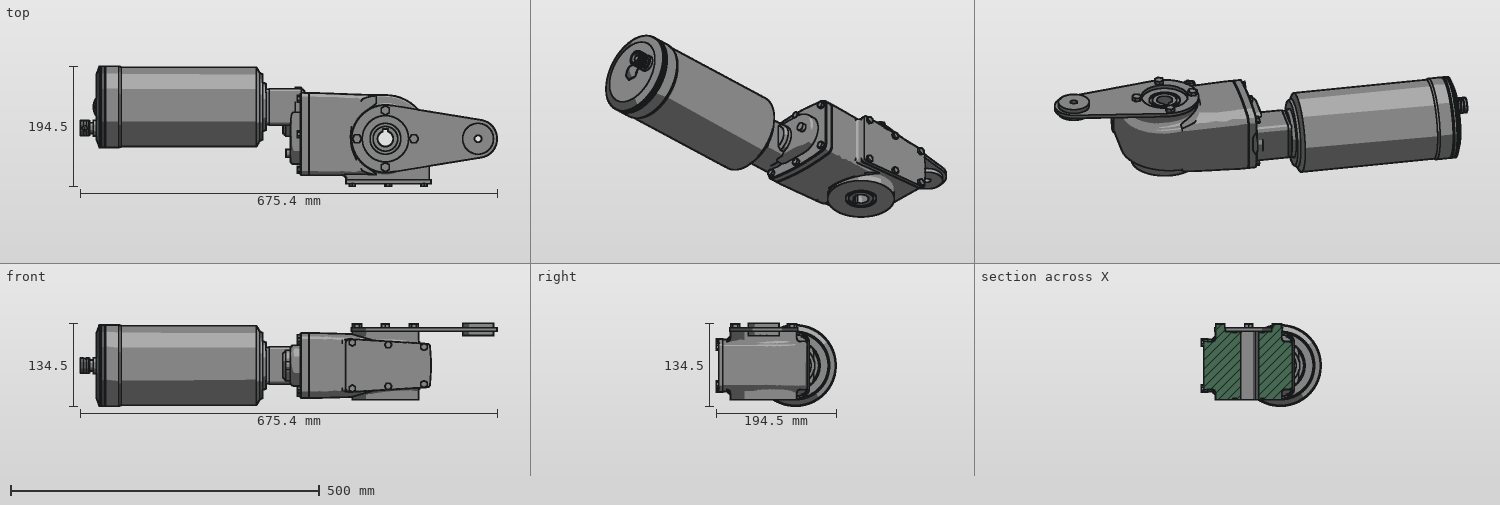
import cadquery as cq
import math

MOTOR_Y = 51.5
MOTOR_DIA = 129
CAP_DIA = 132
CAP_FACE_DIA = 105
CAP_FACE_X = -468
CAP_EDGE_X = -463
CAP_END_X = -431.5
CAP_END_CHAMFER = 4
CAP_GROOVE_X = -455.5
CAP_GROOVE_WIDTH = 2.5
CAP_FINE_GROOVE_X = -460.5
CAP_FINE_GROOVE_WIDTH = 1
CAP_GROOVE_DEPTH = 0.8
BARREL_END_X = -209
RIDGE_X = -203.5
RIDGE_RADIUS = 55.5
SHOULDER_X = -199
SHOULDER_RADIUS = 53
SPIGOT_END_X = -193
SPIGOT_RADIUS = 40
SPIGOT_END_RADIUS = 37.5

PLUG_FLATS = 25
PLUG_HEIGHT = 5
PLUG_DOME_RADIUS = 24

CONNECTOR_Y = 17.3
CONNECTOR_TIP_X = -494.4
CONNECTOR_HEAD_DIA = 25
CONNECTOR_HEAD_LENGTH = 15.5
CONNECTOR_NECK_DIA = 18
CONNECTOR_BASE_DIA = 26
CONNECTOR_BASE_LENGTH = 5
CONNECTOR_GROOVE_STEP = 5
CONNECTOR_GROOVE_COUNT = 2
CONNECTOR_GROOVE_WIDTH = 1
CONNECTOR_GROOVE_DEPTH = 0.5
CONNECTOR_CHAMFER = 1
CONNECTOR_SOCKET_DIA = 18
CONNECTOR_SOCKET_DEPTH = 8
CONNECTOR_CORE_DIA = 10
CONNECTOR_CORE_DEPTH = 3
CONNECTOR_DIMPLE_DIA = 8
CONNECTOR_DIMPLE_DEPTH = 2

BLOCK_WIDTH = 59.4
BLOCK_HEIGHT = 61
BLOCK_CORNER = 7
COLLAR_END_X = -187.3
COLLAR_EXTRA = -2
RIM_START_X = -146
RIM_END_X = -131
RIM_DIA = 63
RIM_CHAMFER = 6

HOUSING_Y = 7.5
HOUSING_HALF_WIDTH = 66.7
HOUSING_CORNER = 11
ARCH_TOP = 53
ARCH_EDGE = 48.8
ARCH_SHOULDER = 50.8
ARCH_HALF_WIDTH = 40
END_COVER_X = -137.5
END_COVER_BACK_X = -124.5
GASKET_WIDTH = 1.5
GASKET_INSET = 0.7
END_COVER_BEVEL = 1.5
HOUSING_DRAFT_X = -110
HOUSING_SLOPE_X = -62
HOUSING_END_X = -15
HOUSING_END_Z = 39.5
HOUSING_LOFT_END_X = 70
HOUSING_END_DROP = 6
HOUSING_END_TAPER = 6.5

OVAL_LOW_Y = -8
OVAL_HIGH_Y = 30
OVAL_RADIUS = 33.2
OVAL_FACE_X = -154
OVAL_EDGE_FILLET = 6
BEARING_CAP_RADIUS = 26
BEARING_CAP_HEIGHT = 12
BEARING_CAP_CHAMFER = 5
DRAIN_PLUG_DIA = 13
DRAIN_PLUG_Y = -23.5
DRAIN_PLUG_HEIGHT = 7

BODY_RADIUS = 71
BODY_LEFT_X = -64
BODY_Z_LEFT = 42.5
BODY_Z_RIGHT = 34.2
BODY_FILLET = 5
FOOT_BLEND = 6
SIDE_COVER_FACE_Y = -73
SIDE_COVER_THICKNESS = 7
SIDE_COVER_OVERHANG = 1
SIDE_COVER_LEDGE = 1
SIDE_COVER_BULGE = 2
SIDE_COVER_CORNER = 5

HUB_RADIUS = 54
ARM_HUB_RADIUS = 55
HUB_HEIGHT = 55.5
HUB_FILLET = 6
HUB_ARCH_FILLET = 4
SEAL_DIA = 50
SHAFT_DIA = 40
SEAL_DEPTH = 2
BORE_DIA = 25
KEY_WIDTH = 8
KEY_TOP_Y = 15.8

ARM_LENGTH = 150
ARM_TIP_RADIUS = 31
ARM_THICKNESS = 6
ARM_HUB_HOLE_DIA = 75
BUSHING_DIA = 50
BUSHING_HEIGHT = 20
BUSHING_HOLE_DIA = 11

ARM_BOLT_FLATS = 13
ARM_BOLT_HEIGHT = 6
ARM_BOLT_CIRCLE_RADIUS = 46
ARM_BOLT_COUNT = 4
COVER_BOLT_FLATS = 10
COVER_BOLT_HEIGHT = 4
SIDE_BOLT_FIRST_X = -53.5
SIDE_BOLT_SPACING = 58
SIDE_BOLT_COLUMNS = 3
SIDE_BOLT_INSET = 4.6
END_BOLT_HEIGHT = 5
END_BOLT_REACH = 57.5
END_BOLT_Z = 39
END_BOLT_MIDDLE_Z = 45

JOIN = 1


def x_cylinder(dia, x_start, x_end, y):
    """Cylinder along X, at Z = 0."""
    return cq.Workplane("YZ", origin=(x_start, y, 0)).circle(dia / 2).extrude(x_end - x_start)


def hexagon(plane, flats, height, turn=0):
    """Hexagonal prism standing on a plane, a corner on the plane's local X axis when turn is 0."""
    corner_dia = flats / math.cos(math.pi / 6)
    return cq.Workplane(plane).transformed(rotate=(0, 0, turn)).polygon(6, corner_dia).extrude(height)


def cap_groove(x, width):
    """Ring to cut around the motor cap."""
    ring = x_cylinder(CAP_DIA + JOIN, x, x + width, MOTOR_Y)
    return ring.cut(x_cylinder(CAP_DIA - 2 * CAP_GROOVE_DEPTH, x, x + width, MOTOR_Y))


def make_motor():
    profile = [
        (CAP_FACE_X, 0),
        (CAP_FACE_X, CAP_FACE_DIA / 2),
        (CAP_EDGE_X, CAP_DIA / 2),
        (CAP_END_X, CAP_DIA / 2),
        (CAP_END_X + CAP_END_CHAMFER, MOTOR_DIA / 2),
        (BARREL_END_X, MOTOR_DIA / 2),
        (RIDGE_X, RIDGE_RADIUS),
        (SHOULDER_X, SHOULDER_RADIUS),
        (SHOULDER_X, SPIGOT_RADIUS),
        (SPIGOT_END_X, SPIGOT_END_RADIUS),
        (SPIGOT_END_X, 0),
    ]
    axis_plane = cq.Workplane("XY", origin=(0, MOTOR_Y, 0))
    motor = axis_plane.polyline(profile).close().revolve(360, (0, 0, 0), (1, 0, 0))
    motor = motor.cut(cap_groove(CAP_GROOVE_X, CAP_GROOVE_WIDTH))
    return motor.cut(cap_groove(CAP_FINE_GROOVE_X, CAP_FINE_GROOVE_WIDTH))


def make_cap_plug():
    """Hexagonal plug with a domed top in the middle of the motor cap."""
    top_x = CAP_FACE_X - PLUG_HEIGHT
    plane = cq.Plane(origin=(CAP_FACE_X + JOIN, MOTOR_Y, 0), xDir=(0, 1, 0), normal=(-1, 0, 0))
    plug = hexagon(plane, PLUG_FLATS, PLUG_HEIGHT + JOIN)
    dome = cq.Workplane("XY").sphere(PLUG_DOME_RADIUS).translate((top_x + PLUG_DOME_RADIUS, MOTOR_Y, 0))
    return plug.intersect(dome)


def make_connector():
    head_end_x = CONNECTOR_TIP_X + CONNECTOR_HEAD_LENGTH
    base_x = CAP_FACE_X - CONNECTOR_BASE_LENGTH
    head = x_cylinder(CONNECTOR_HEAD_DIA, CONNECTOR_TIP_X, head_end_x, CONNECTOR_Y)
    head = head.edges().chamfer(CONNECTOR_CHAMFER)
    for index in range(1, CONNECTOR_GROOVE_COUNT + 1):
        groove_x = CONNECTOR_TIP_X + index * CONNECTOR_GROOVE_STEP
        groove_end_x = groove_x + CONNECTOR_GROOVE_WIDTH
        core_dia = CONNECTOR_HEAD_DIA - 2 * CONNECTOR_GROOVE_DEPTH
        ring = x_cylinder(CONNECTOR_HEAD_DIA + JOIN, groove_x, groove_end_x, CONNECTOR_Y)
        core = x_cylinder(core_dia, groove_x, groove_end_x, CONNECTOR_Y)
        head = head.cut(ring.cut(core))
    socket_end_x = CONNECTOR_TIP_X + CONNECTOR_SOCKET_DEPTH
    head = head.cut(x_cylinder(CONNECTOR_SOCKET_DIA, CONNECTOR_TIP_X, socket_end_x, CONNECTOR_Y))
    core_x = CONNECTOR_TIP_X + CONNECTOR_CORE_DEPTH
    head = head.union(x_cylinder(CONNECTOR_CORE_DIA, core_x, head_end_x, CONNECTOR_Y))
    dimple_x = CONNECTOR_TIP_X + CONNECTOR_HEAD_LENGTH / 2
    dimple_z = CONNECTOR_HEAD_DIA / 2 - CONNECTOR_DIMPLE_DEPTH
    dimple = cq.Workplane("XY", origin=(dimple_x, CONNECTOR_Y, dimple_z)).circle(CONNECTOR_DIMPLE_DIA / 2)
    head = head.cut(dimple.extrude(CONNECTOR_HEAD_DIA))
    neck = x_cylinder(CONNECTOR_NECK_DIA, head_end_x - JOIN, base_x + JOIN, CONNECTOR_Y)
    base = x_cylinder(CONNECTOR_BASE_DIA, base_x, CAP_FACE_X + JOIN, CONNECTOR_Y)
    return head.union(neck).union(base)


def rounded_bar(x_start, x_end, extra):
    """Rounded rectangular bar on the motor axis, wider than the coupling block by extra."""
    bar = cq.Workplane("YZ", origin=(x_start, MOTOR_Y, 0))
    bar = bar.rect(BLOCK_WIDTH + extra, BLOCK_HEIGHT + extra).extrude(x_end - x_start)
    return bar.edges("|X").fillet(BLOCK_CORNER)


def make_coupling_block():
    collar = rounded_bar(SPIGOT_END_X - JOIN, COLLAR_END_X, COLLAR_EXTRA)
    block = rounded_bar(COLLAR_END_X - JOIN, END_COVER_X + JOIN, 0)
    rim = x_cylinder(RIM_DIA, RIM_START_X, RIM_END_X, MOTOR_Y).faces(">X").chamfer(RIM_CHAMFER)
    return collar.union(block).union(rim)


def arched_section(x, inset=0, drop=0, taper=0):
    """Housing outline across X: straight sides, rounded corners, arched top and bottom.

    inset shrinks every side, drop lowers the top and bottom, taper pulls in the +Y side.
    """
    left = HOUSING_Y - HOUSING_HALF_WIDTH + inset
    right = HOUSING_Y + HOUSING_HALF_WIDTH - inset - taper
    middle = (left + right) / 2
    top = ARCH_TOP - inset - drop
    edge = ARCH_EDGE - inset - drop
    shoulder = ARCH_SHOULDER - inset - drop
    arch_left = middle - ARCH_HALF_WIDTH
    arch_right = middle + ARCH_HALF_WIDTH
    corner = HOUSING_CORNER
    mid_corner = corner * (1 - math.sqrt(0.5))
    return (
        cq.Workplane("YZ", origin=(x, 0, 0))
        .moveTo(left, corner - edge)
        .lineTo(left, edge - corner)
        .threePointArc((left + mid_corner, edge - mid_corner), (left + corner, edge))
        .lineTo(arch_left, shoulder)
        .threePointArc((middle, top), (arch_right, shoulder))
        .lineTo(right - corner, edge)
        .threePointArc((right - mid_corner, edge - mid_corner), (right, edge - corner))
        .lineTo(right, corner - edge)
        .threePointArc((right - mid_corner, mid_corner - edge), (right - corner, -edge))
        .lineTo(arch_right, -shoulder)
        .threePointArc((middle, -top), (arch_left, -shoulder))
        .lineTo(left + corner, -edge)
        .threePointArc((left + mid_corner, mid_corner - edge), (left, corner - edge))
        .close()
        .wire()
        .val()
    )


def loft(first_section, second_section):
    """Solid with straight rulings between two sections."""
    return cq.Workplane(cq.Solid.makeLoft([first_section, second_section], True))


def blend_with_hub(casting, radius):
    """Fuse the output hub to a casting and fillet the corner between them."""
    hub = cq.Workplane("XY", origin=(0, 0, -HUB_HEIGHT)).circle(HUB_RADIUS).extrude(2 * HUB_HEIGHT)
    fused = casting.union(hub)
    reach = HUB_RADIUS + JOIN
    height = HUB_HEIGHT - JOIN
    root = cq.selectors.BoxSelector((-reach, -reach, -height), (reach, reach, height), boundingbox=True)
    return fused.edges(root).fillet(radius)


def make_housing():
    """End cover, recessed gasket line and the housing behind it."""
    bevel_end_x = END_COVER_X + END_COVER_BEVEL
    gasket_end_x = END_COVER_BACK_X + GASKET_WIDTH
    bevel = loft(arched_section(END_COVER_X, END_COVER_BEVEL), arched_section(bevel_end_x))
    end_cover = loft(arched_section(bevel_end_x), arched_section(END_COVER_BACK_X))
    gasket = loft(
        arched_section(END_COVER_BACK_X, GASKET_INSET),
        arched_section(gasket_end_x, GASKET_INSET),
    )
    flange = loft(arched_section(gasket_end_x), arched_section(HOUSING_DRAFT_X))
    return bevel.union(end_cover).union(gasket).union(flange).union(make_drafted_housing())


def make_drafted_housing():
    """Tapering half of the housing, blended into the hub, then sloped down to the output housing."""
    end_section = arched_section(HOUSING_LOFT_END_X, drop=HOUSING_END_DROP, taper=HOUSING_END_TAPER)
    drafted = blend_with_hub(loft(arched_section(HOUSING_DRAFT_X), end_section), HUB_ARCH_FILLET)
    half_width = HOUSING_HALF_WIDTH + JOIN
    outline = [
        (HOUSING_DRAFT_X, -ARCH_TOP),
        (HOUSING_SLOPE_X, -ARCH_TOP),
        (HOUSING_END_X, -HOUSING_END_Z),
        (HOUSING_END_X, HOUSING_END_Z),
        (HOUSING_SLOPE_X, ARCH_TOP),
        (HOUSING_DRAFT_X, ARCH_TOP),
    ]
    envelope = cq.Workplane("XZ", origin=(0, HOUSING_Y, 0)).polyline(outline).close()
    return drafted.intersect(envelope.extrude(half_width, both=True))


def make_oval_boss():
    """Oval boss on the end cover with the round bearing cap and the drain plug."""
    boss = (
        cq.Workplane("YZ", origin=(OVAL_FACE_X, (OVAL_LOW_Y + OVAL_HIGH_Y) / 2, 0))
        .slot2D(OVAL_HIGH_Y - OVAL_LOW_Y + 2 * OVAL_RADIUS, 2 * OVAL_RADIUS)
        .extrude(END_COVER_X + JOIN - OVAL_FACE_X)
        .faces("<X")
        .edges()
        .fillet(OVAL_EDGE_FILLET)
    )
    cap_x = OVAL_FACE_X - BEARING_CAP_HEIGHT
    cap = x_cylinder(2 * BEARING_CAP_RADIUS, cap_x, OVAL_FACE_X + JOIN, OVAL_HIGH_Y)
    cap = cap.faces("<X").chamfer(BEARING_CAP_CHAMFER)
    plug = x_cylinder(DRAIN_PLUG_DIA, OVAL_FACE_X - DRAIN_PLUG_HEIGHT, OVAL_FACE_X + JOIN, DRAIN_PLUG_Y)
    return boss.union(cap).union(plug)


def body_half_height(x):
    """Half height of the output housing, which tapers evenly along X."""
    share = (x - BODY_LEFT_X) / (BODY_RADIUS - BODY_LEFT_X)
    return BODY_Z_LEFT + share * (BODY_Z_RIGHT - BODY_Z_LEFT)


def make_output_body():
    """Housing around the output shaft: rounded towards +X and +Y, with a foot for the side cover."""
    side_y = HOUSING_Y - HOUSING_HALF_WIDTH
    back_y = SIDE_COVER_FACE_Y + SIDE_COVER_THICKNESS - JOIN
    diagonal = BODY_RADIUS * math.sqrt(0.5)
    blend_mid = FOOT_BLEND * math.sqrt(0.5)
    blend_x = BODY_LEFT_X - FOOT_BLEND
    plan = (
        cq.Workplane("XY", origin=(0, 0, -HUB_HEIGHT))
        .moveTo(blend_x, BODY_RADIUS)
        .lineTo(0, BODY_RADIUS)
        .threePointArc((diagonal, diagonal), (BODY_RADIUS, 0))
        .lineTo(BODY_RADIUS, back_y)
        .lineTo(BODY_LEFT_X, back_y)
        .lineTo(BODY_LEFT_X, side_y - FOOT_BLEND)
        .threePointArc((blend_x + blend_mid, side_y - FOOT_BLEND + blend_mid), (blend_x, side_y))
        .close()
        .extrude(2 * HUB_HEIGHT)
    )
    left_z = body_half_height(blend_x)
    profile = [
        (blend_x, -left_z),
        (BODY_RADIUS, -BODY_Z_RIGHT),
        (BODY_RADIUS, BODY_Z_RIGHT),
        (blend_x, left_z),
    ]
    wedge = (
        cq.Workplane("XZ", origin=(0, BODY_RADIUS, 0))
        .polyline(profile)
        .close()
        .extrude(BODY_RADIUS - back_y)
    )
    body = plan.intersect(wedge)
    rims = body.edges("not |Z").edges("not <X").edges("not <Y").edges("not |Y or >X")
    return blend_with_hub(rims.fillet(BODY_FILLET), HUB_FILLET)


def make_side_cover():
    """Tapered plate on the -Y side with a slightly bulging +X edge."""
    left_x = BODY_LEFT_X
    right_x = BODY_RADIUS + SIDE_COVER_OVERHANG
    left_z = body_half_height(left_x) + SIDE_COVER_LEDGE
    right_z = body_half_height(right_x) + SIDE_COVER_LEDGE
    return (
        cq.Workplane("XZ", origin=(0, SIDE_COVER_FACE_Y + SIDE_COVER_THICKNESS, 0))
        .moveTo(left_x, -left_z)
        .lineTo(right_x, -right_z)
        .threePointArc((right_x + SIDE_COVER_BULGE, 0), (right_x, right_z))
        .lineTo(left_x, left_z)
        .close()
        .extrude(SIDE_COVER_THICKNESS)
        .edges("|Y")
        .fillet(SIDE_COVER_CORNER)
    )


def make_side_bolts():
    bolts = cq.Workplane("XY")
    for index in range(SIDE_BOLT_COLUMNS):
        x = SIDE_BOLT_FIRST_X + index * SIDE_BOLT_SPACING
        z = body_half_height(x) - SIDE_BOLT_INSET
        is_middle = index == SIDE_BOLT_COLUMNS // 2
        turn = 0 if is_middle else 90
        for side in (-1, 1):
            origin = (x, SIDE_COVER_FACE_Y + JOIN, side * z)
            plane = cq.Plane(origin=origin, xDir=(1, 0, 0), normal=(0, -1, 0))
            bolts = bolts.add(hexagon(plane, COVER_BOLT_FLATS, COVER_BOLT_HEIGHT + JOIN, turn))
    return bolts


def make_end_bolts():
    bolts = cq.Workplane("XY")
    for offset in (-END_BOLT_REACH, 0, END_BOLT_REACH):
        z = END_BOLT_MIDDLE_Z if offset == 0 else END_BOLT_Z
        for side in (-1, 1):
            origin = (END_COVER_X + JOIN, HOUSING_Y + offset, side * z)
            plane = cq.Plane(origin=origin, xDir=(0, 1, 0), normal=(-1, 0, 0))
            bolts = bolts.add(hexagon(plane, COVER_BOLT_FLATS, END_BOLT_HEIGHT + JOIN))
    return bolts


def make_torque_arm():
    """Flat arm: two circles joined by their common tangents, with a bushing at the tip."""
    tangent_cos = (ARM_HUB_RADIUS - ARM_TIP_RADIUS) / ARM_LENGTH
    tangent_sin = math.sqrt(1 - tangent_cos**2)
    hub_x = ARM_HUB_RADIUS * tangent_cos
    hub_y = ARM_HUB_RADIUS * tangent_sin
    tip_x = ARM_LENGTH + ARM_TIP_RADIUS * tangent_cos
    tip_y = ARM_TIP_RADIUS * tangent_sin
    plate = (
        cq.Workplane("XY", origin=(0, 0, HUB_HEIGHT))
        .moveTo(hub_x, hub_y)
        .threePointArc((-ARM_HUB_RADIUS, 0), (hub_x, -hub_y))
        .lineTo(tip_x, -tip_y)
        .threePointArc((ARM_LENGTH + ARM_TIP_RADIUS, 0), (tip_x, tip_y))
        .close()
        .extrude(ARM_THICKNESS)
    )
    at_hub = cq.Workplane("XY", origin=(0, 0, HUB_HEIGHT))
    hub_hole = at_hub.circle(ARM_HUB_HOLE_DIA / 2).extrude(ARM_THICKNESS)
    bushing_z = HUB_HEIGHT + ARM_THICKNESS / 2 - BUSHING_HEIGHT / 2
    at_tip = cq.Workplane("XY", origin=(ARM_LENGTH, 0, bushing_z))
    bushing = at_tip.circle(BUSHING_DIA / 2).extrude(BUSHING_HEIGHT)
    bushing_hole = at_tip.circle(BUSHING_HOLE_DIA / 2).extrude(BUSHING_HEIGHT)
    return plate.cut(hub_hole).union(bushing).cut(bushing_hole)


def make_arm_bolts():
    bolts = cq.Workplane("XY")
    bolt_z = HUB_HEIGHT + ARM_THICKNESS - JOIN
    for index in range(ARM_BOLT_COUNT):
        turn = index * 360 / ARM_BOLT_COUNT
        head = hexagon("XY", ARM_BOLT_FLATS, ARM_BOLT_HEIGHT + JOIN)
        head = head.translate((ARM_BOLT_CIRCLE_RADIUS, 0, bolt_z))
        bolts = bolts.add(head.rotate((0, 0, 0), (0, 0, 1), turn))
    return bolts


def make_shaft_cuts():
    """Through bore with keyway, and the seal recess around the shaft at each hub face."""
    at_bottom = cq.Workplane("XY", origin=(0, 0, -HUB_HEIGHT))
    cuts = at_bottom.circle(BORE_DIA / 2).extrude(2 * HUB_HEIGHT)
    keyway = at_bottom.center(0, KEY_TOP_Y / 2).rect(KEY_WIDTH, KEY_TOP_Y).extrude(2 * HUB_HEIGHT)
    cuts = cuts.union(keyway)
    for z in (-HUB_HEIGHT, HUB_HEIGHT - SEAL_DEPTH):
        seal = cq.Workplane("XY", origin=(0, 0, z)).circle(SEAL_DIA / 2).circle(SHAFT_DIA / 2)
        cuts = cuts.add(seal.extrude(SEAL_DEPTH))
    return cuts


def fuse(parts):
    whole = parts[0]
    for piece in parts[1:]:
        for solid in piece.vals():
            whole = whole.union(cq.Workplane(solid))
    return whole


assembly = fuse(
    [
        make_output_body(),
        make_housing(),
        make_oval_boss(),
        make_coupling_block(),
        make_motor(),
        make_cap_plug(),
        make_connector(),
        make_side_cover(),
        make_side_bolts(),
        make_end_bolts(),
        make_torque_arm(),
        make_arm_bolts(),
    ]
)

for cut in make_shaft_cuts().vals():
    assembly = assembly.cut(cq.Workplane(cut))

result = assembly